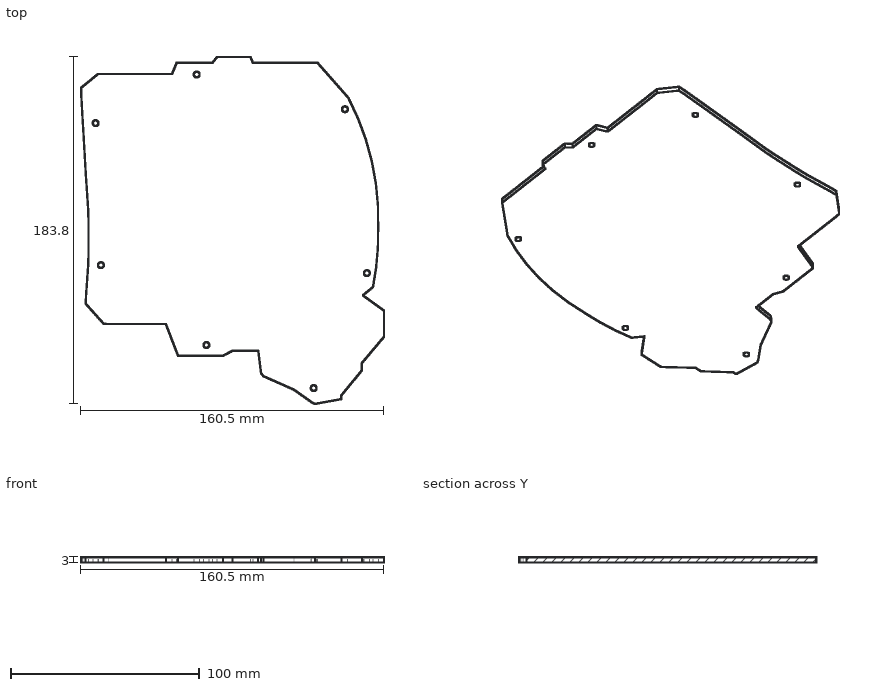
import cadquery as cq

plate_width = 160.5
plate_length = 183.8
plate_thickness = 3.0
hole_diameter = 3.0

left_shoulder_y = 174.8
back_edge_y = 180.7
left_foot_y = 42.3
front_edge_y = 25.5
front_recess_y = 28.1

waist_x = 3.9
lobe_notch_x = 148.7
lobe_tip_x = 137.8

right_arc_start = (141.5, 162.1)
upper_arc_middle = (152.7, 133.5)
right_arc_widest = (157.3, 92.8)
lower_arc_middle = (156.8, 77.2)
right_arc_end = (154.5, 62.0)

back_points = [
    (9.0, left_shoulder_y),
    (48.2, left_shoulder_y),
    (50.5, back_edge_y),
    (69.5, back_edge_y),
    (72.0, plate_length),
    (89.7, plate_length),
    (91.0, back_edge_y),
    (125.2, back_edge_y),
    right_arc_start,
]

lobe_points = [
    (149.2, 57.5),
    (plate_width, 49.5),
    (plate_width, 35.7),
    (lobe_notch_x, 21.7),
    (lobe_notch_x, 17.8),
    (lobe_tip_x, 4.6),
    (lobe_tip_x, 2.5),
    (123.7, 0),
    (122.0, 1.0),
    (112.7, 7.5),
    (96.5, 14.7),
    (95.2, 16.4),
]

front_points = [
    (93.7, front_recess_y),
    (80.1, front_recess_y),
    (75.2, front_edge_y),
    (51.3, front_edge_y),
    (44.8, left_foot_y),
    (14.5, left_foot_y),
    (12.0, 42.5),
    (2.4, 53.1),
]

left_points = [
    (2.5, 57.7),
    (3.7, 73.1),
    (waist_x, 78.8),
    (waist_x, 97.4),
    (3.7, 103.3),
    (2.4, 122.4),
    (2.0, 128.8),
    (1.1, 145.0),
    (0.7, 150.7),
    (0, 164.1),
]
upper_left_corner = (0, 167.5)

hole_centers = [
    (7.7, 148.7),
    (61.2, 174.4),
    (139.7, 156.0),
    (10.5, 73.5),
    (151.3, 69.3),
    (66.3, 31.2),
    (123.1, 8.5),
]


def make_plate():
    outline = cq.Workplane("XY").moveTo(*upper_left_corner)
    for point in back_points:
        outline = outline.lineTo(*point)
    outline = outline.threePointArc(upper_arc_middle, right_arc_widest)
    outline = outline.threePointArc(lower_arc_middle, right_arc_end)
    for point in lobe_points + front_points + left_points:
        outline = outline.lineTo(*point)
    return outline.close().extrude(plate_thickness)


def make_holes():
    return (
        cq.Workplane("XY")
        .pushPoints(hole_centers)
        .circle(hole_diameter / 2)
        .extrude(plate_thickness)
    )


result = make_plate().cut(make_holes())